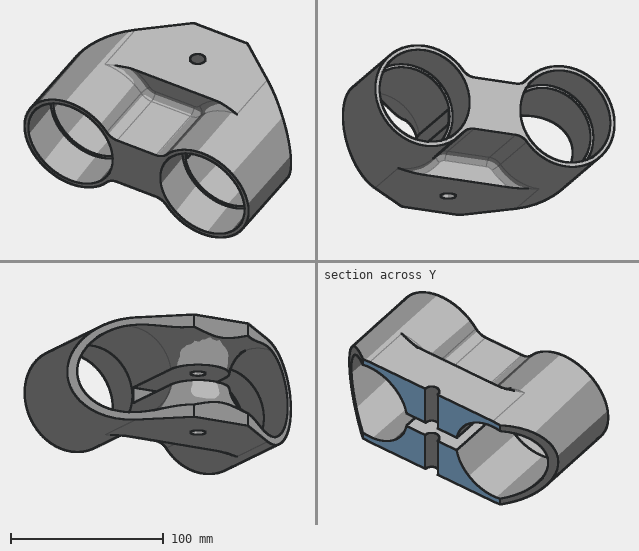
import cadquery as cq
import math

overall_width = 170.0
length = 110.0
outer_radius = 35.0
tube_offset = overall_width / 2 - outer_radius
bore_radius = 30.0
socket_radius = 32.0
socket_depth = 29.0
bend_center_y = 80.0

rear_half_width = 20.4
taper_start_y = 55.6

web_half_height = 18.0
web_blend_radius = 10.0
recess_depth = 50.0
recess_fillet = 5.0

bolt_diameter = 10.0
slot_height = 10.5
slot_start_y = 31.0

SIDES = (-1, 1)


def cylinder_along_y(radius, depth, x):
    """Cylinder starting at the front face and running toward +Y."""
    return cq.Workplane("XZ", origin=(x, 0, 0)).circle(radius).extrude(-depth)


def make_body():
    half_width = overall_width / 2
    oval = (
        cq.Workplane("XZ")
        .slot2D(overall_width, 2 * outer_radius)
        .extrude(-length)
    )
    plan = (
        cq.Workplane("XY")
        .moveTo(-half_width, 0)
        .lineTo(half_width, 0)
        .lineTo(half_width, taper_start_y)
        .lineTo(rear_half_width, length)
        .lineTo(-rear_half_width, length)
        .lineTo(-half_width, taper_start_y)
        .close()
        .extrude(outer_radius, both=True)
    )
    return oval.intersect(plan)


def make_recess():
    """Upper recess whose sides follow the tubes and blend into the flat web."""
    blend_z = web_half_height + web_blend_radius
    center_distance = outer_radius + web_blend_radius
    floor_x = tube_offset - math.sqrt(center_distance**2 - blend_z**2)
    blend_angle = math.atan2(blend_z, tube_offset - floor_x)

    tangent_x = tube_offset - outer_radius * math.cos(blend_angle)
    tangent_z = outer_radius * math.sin(blend_angle)
    mid_angle = (blend_angle + math.pi / 2) / 2
    tube_mid_x = tube_offset - outer_radius * math.cos(mid_angle)
    tube_mid_z = outer_radius * math.sin(mid_angle)
    blend_mid_x = floor_x + web_blend_radius * math.cos(mid_angle)
    blend_mid_z = blend_z - web_blend_radius * math.sin(mid_angle)

    cutter_top = outer_radius + 2 * recess_fillet
    cutter = (
        cq.Workplane("XZ")
        .moveTo(-tube_offset, cutter_top)
        .lineTo(-tube_offset, outer_radius)
        .threePointArc((-tube_mid_x, tube_mid_z), (-tangent_x, tangent_z))
        .threePointArc((-blend_mid_x, blend_mid_z), (-floor_x, web_half_height))
        .lineTo(floor_x, web_half_height)
        .threePointArc((blend_mid_x, blend_mid_z), (tangent_x, tangent_z))
        .threePointArc((tube_mid_x, tube_mid_z), (tube_offset, outer_radius))
        .lineTo(tube_offset, cutter_top)
        .close()
        .extrude(-recess_depth)
    )
    floor_edges = cutter.faces(">Y").edges("not(|Z or >Z)")
    return cutter.newObject(floor_edges.vals()).fillet(recess_fillet)


def make_passage():
    """U-shaped bore with a wider socket at each mouth."""
    passage = (
        cq.Workplane("XZ", origin=(0, bend_center_y, 0))
        .center(tube_offset, 0)
        .circle(bore_radius)
        .revolve(180, (-tube_offset, 0), (-tube_offset, 1))
    )
    for side in SIDES:
        passage = passage.union(cylinder_along_y(bore_radius, bend_center_y, side * tube_offset))
        passage = passage.union(cylinder_along_y(socket_radius, socket_depth, side * tube_offset))
    return passage


def make_slot():
    slot_length = length - slot_start_y
    slot_center_y = slot_start_y + slot_length / 2
    return (
        cq.Workplane("XY", origin=(0, slot_center_y, 0))
        .box(2 * tube_offset, slot_length, slot_height)
    )


def make_bolt_hole():
    return (
        cq.Workplane("XY")
        .center(0, bend_center_y)
        .circle(bolt_diameter / 2)
        .extrude(outer_radius, both=True)
    )


recess = make_recess()
result = (
    make_body()
    .cut(recess)
    .cut(recess.rotate((0, 0, 0), (0, 1, 0), 180))
    .cut(make_passage())
    .cut(make_slot())
    .cut(make_bolt_hole())
)